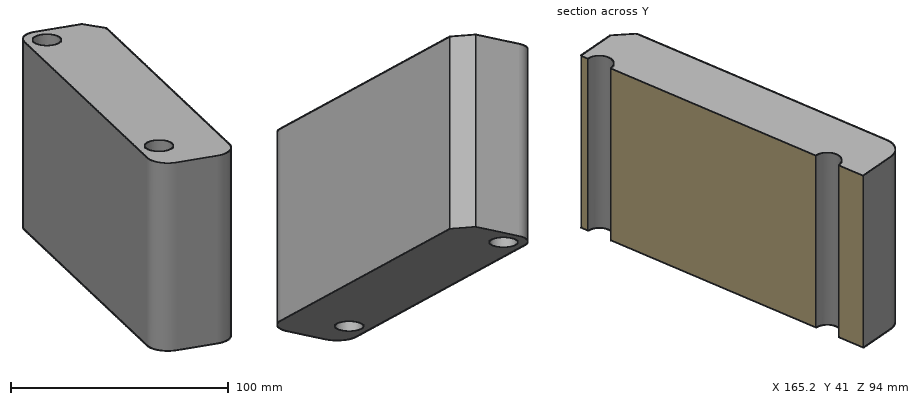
import cadquery as cq

length = 165.2
depth = 41.0
height = 94.0

front_left_radius = 9.0
right_radius = 10.2
chamfer_size = 8.6

hole_diameter = 13.2
hole_from_front = 10.4
left_hole_from_left = 10.9
right_hole_from_right = 21.0


def make_block():
    """Plate with rounded vertical corners and one chamfered at the back left."""
    block = cq.Workplane("XY").box(length, depth, height, centered=False)
    block = block.edges("|Z and >X").fillet(right_radius)
    block = block.edges("|Z and <X and <Y").fillet(front_left_radius)
    return block.edges("|Z and <X and >Y").chamfer(chamfer_size)


def make_holes():
    """Vertical cylinders through the full height."""
    centers = [
        (left_hole_from_left, hole_from_front),
        (length - right_hole_from_right, hole_from_front),
    ]
    return cq.Workplane("XY").pushPoints(centers).circle(hole_diameter / 2).extrude(height)


result = make_block().cut(make_holes())